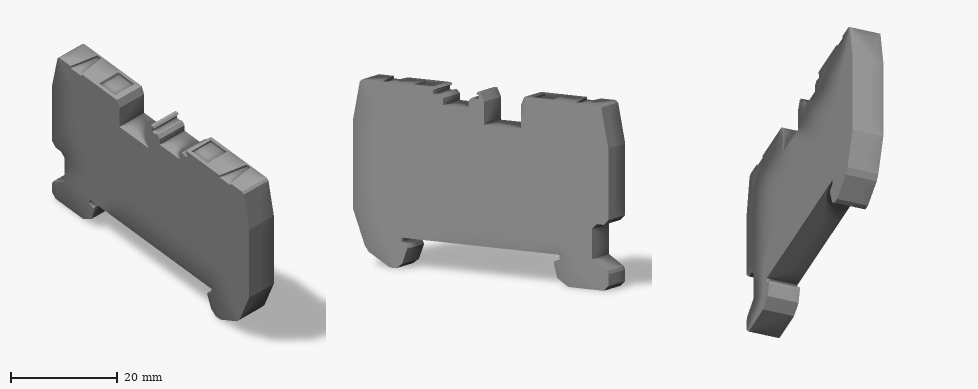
import cadquery as cq

LENGTH = 56.0
THICKNESS = 6.2
HEIGHT = 35.4

SHOULDER_Z = 27.3
SHOULDER_INSET = 1.55
CORNER_WIDTH = 0.5
CORNER_DROP = 0.4

RIGHT_WALL_BOTTOM_Z = 10.6
RIGHT_HEEL_TOP = (53.35, 3.65)
RIGHT_HEEL_BOTTOM = (52.5, 2.55)
RIGHT_SOLE_START_X = 46.5
RIGHT_SOLE_END_X = 47.85

LEFT_SOLE_END_X = 8.8
END_CHAMFER = 1.0
LEFT_TOE_Z = 3.2
LEFT_TOE_CHAMFER = (0.3, 3.85)

SIDE_NOTCH_DEPTH = 3.55
SIDE_NOTCH_BOTTOM_Z = 5.8
SIDE_NOTCH_TOP_Z = 12.6

RAIL_LEFT_X = 10.65
RAIL_RIGHT_X = 45.35
RAIL_Z = 5.95
LEFT_LIP_X = 11.85
LEFT_LIP_TOP_Z = 4.6
LEFT_LIP_LEDGE_X = 11.2
LEFT_LIP_ROOT_Z = 5.05
LEFT_LIP_BOTTOM_Z = 3.85
LEFT_FOOT_INNER = (11.2, 1.5)
RIGHT_LIP = (44.05, 3.95)
RIGHT_LIP_LEDGE_START = (44.35, 4.5)
RIGHT_LIP_LEDGE_END = (45.1, 4.8)
RIGHT_LIP_ROOT_Z = 5.1
RIGHT_FOOT_INNER = (45.2, 0.95)

SLOT_LEFT_X = 19.13
SLOT_RIGHT_X = 27.2
SLOT_FLOOR_Z = 29.25
SLOT_LEFT_FLARE = 0.7
SLOT_LEFT_FLARE_Z = 33.85
SLOT_RIGHT_FLARE = 0.85
SLOT_RIGHT_FLARE_Z = 33.65

GROOVE_CENTRE_X = 33.4
GROOVE_HALF_FLOOR = 2.78
GROOVE_FLOOR_Z = 32.15
GROOVE_BEVEL_HALF = 3.47
GROOVE_BEVEL_BOTTOM_Z = 33.5
GROOVE_LEDGE_Z = 34.15
GROOVE_LEDGE_HALF = 3.82
GUTTER_INNER_HALF = 4.07
GUTTER_OUTER_HALF = 4.77
GUTTER_Z = 33.95
GROOVE_WALL_HALF = 4.97
GROOVE_WALL_BOTTOM_Z = 34.05
HOOK_ROOT_Z = 34.75
HOOK_TIP_HALF = 4.42
HOOK_TIP_Z = 35.05
GROOVE_MOUTH_HALF = 4.77

RECESS_DEPTH = 0.5
WINDOW_Y_MIN = 0.7
WINDOW_Y_MAX = 5.55
WINDOW_LENGTH = 4.55
WINDOW_WALL_LEAN = 0.17
LEFT_WINDOW_OUTER_X = 12.53
RIGHT_WINDOW_OUTER_X = 43.37
WEDGE_CENTRES_X = (6.8, 49.15)
WEDGE_HALF_BASE = 1.55
WEDGE_HALF_TIP = 0.54
WEDGE_TIP_Y = 5.85


def extrude_profile(points, y_start, y_end):
    """Extrude a closed XZ outline from y_start to y_end."""
    plane = cq.Workplane("XZ", origin=(0, y_start, 0))
    return plane.polyline(points).close().extrude(y_start - y_end)


def make_body():
    """Plate outline with both feet, the rail recess and the side notch."""
    corner_x = SHOULDER_INSET + CORNER_WIDTH
    corner_z = HEIGHT - CORNER_DROP
    side_notch_edge_x = SIDE_NOTCH_DEPTH - END_CHAMFER

    top_and_right_end = [
        (0, SHOULDER_Z),
        (SHOULDER_INSET, corner_z),
        (corner_x, HEIGHT),
        (LENGTH - corner_x, HEIGHT),
        (LENGTH - SHOULDER_INSET, corner_z),
        (LENGTH, SHOULDER_Z),
        (LENGTH, RIGHT_WALL_BOTTOM_Z),
    ]
    right_foot = [
        RIGHT_HEEL_TOP,
        RIGHT_HEEL_BOTTOM,
        (RIGHT_SOLE_END_X, 0),
        (RIGHT_SOLE_START_X, 0),
        RIGHT_FOOT_INNER,
        RIGHT_LIP,
        RIGHT_LIP_LEDGE_START,
        RIGHT_LIP_LEDGE_END,
    ]
    rail_recess = [
        (RAIL_RIGHT_X, RIGHT_LIP_ROOT_Z),
        (RAIL_RIGHT_X, RAIL_Z),
        (RAIL_LEFT_X, RAIL_Z),
        (RAIL_LEFT_X, LEFT_LIP_ROOT_Z),
    ]
    left_foot = [
        (LEFT_LIP_LEDGE_X, LEFT_LIP_TOP_Z),
        (LEFT_LIP_X, LEFT_LIP_TOP_Z),
        (LEFT_LIP_X, LEFT_LIP_BOTTOM_Z),
        LEFT_FOOT_INNER,
        (LEFT_SOLE_END_X, 0),
        (END_CHAMFER, 0),
        (0, END_CHAMFER),
        (0, LEFT_TOE_Z),
        LEFT_TOE_CHAMFER,
    ]
    side_notch = [
        (SIDE_NOTCH_DEPTH, SIDE_NOTCH_BOTTOM_Z),
        (SIDE_NOTCH_DEPTH, SIDE_NOTCH_TOP_Z - END_CHAMFER),
        (side_notch_edge_x, SIDE_NOTCH_TOP_Z),
        (END_CHAMFER, SIDE_NOTCH_TOP_Z),
        (0, SIDE_NOTCH_TOP_Z + END_CHAMFER),
    ]
    outline = top_and_right_end + right_foot + rail_recess + left_foot + side_notch
    return extrude_profile(outline, 0, THICKNESS)


def make_slot():
    """Deep slot through the thickness, flared at its mouth."""
    outline = [
        (SLOT_LEFT_X, SLOT_FLOOR_Z),
        (SLOT_RIGHT_X, SLOT_FLOOR_Z),
        (SLOT_RIGHT_X, SLOT_RIGHT_FLARE_Z),
        (SLOT_RIGHT_X + SLOT_RIGHT_FLARE, HEIGHT),
        (SLOT_LEFT_X - SLOT_LEFT_FLARE, HEIGHT),
        (SLOT_LEFT_X, SLOT_LEFT_FLARE_Z),
    ]
    return extrude_profile(outline, 0, THICKNESS)


def make_marker_groove():
    """Stepped groove with a small overhanging hook on each side."""
    half_outline = [
        (GROOVE_HALF_FLOOR, GROOVE_FLOOR_Z),
        (GROOVE_HALF_FLOOR, GROOVE_BEVEL_BOTTOM_Z),
        (GROOVE_BEVEL_HALF, GROOVE_LEDGE_Z),
        (GROOVE_LEDGE_HALF, GROOVE_LEDGE_Z),
        (GUTTER_INNER_HALF, GUTTER_Z),
        (GUTTER_OUTER_HALF, GUTTER_Z),
        (GROOVE_WALL_HALF, GROOVE_WALL_BOTTOM_Z),
        (GROOVE_WALL_HALF, HOOK_ROOT_Z),
        (HOOK_TIP_HALF, HOOK_TIP_Z),
        (GROOVE_MOUTH_HALF, HEIGHT),
    ]
    right_side = [(GROOVE_CENTRE_X + offset, z) for offset, z in half_outline]
    left_side = [(GROOVE_CENTRE_X - offset, z) for offset, z in reversed(half_outline)]
    return extrude_profile(right_side + left_side, 0, THICKNESS)


def make_window(outer_x, inward):
    """Rectangular recess whose outer wall leans; inward is +1 or -1 along X."""
    floor_z = HEIGHT - RECESS_DEPTH
    inner_x = outer_x + inward * WINDOW_LENGTH
    outline = [
        (outer_x, HEIGHT),
        (inner_x, HEIGHT),
        (inner_x, floor_z),
        (outer_x + inward * WINDOW_WALL_LEAN, floor_z),
    ]
    return extrude_profile(outline, WINDOW_Y_MIN, WINDOW_Y_MAX)


def make_wedge(centre_x):
    """Tapered recess, open at the front face."""
    outline = [
        (centre_x - WEDGE_HALF_BASE, 0),
        (centre_x + WEDGE_HALF_BASE, 0),
        (centre_x + WEDGE_HALF_TIP, WEDGE_TIP_Y),
        (centre_x - WEDGE_HALF_TIP, WEDGE_TIP_Y),
    ]
    top_plane = cq.Workplane("XY", origin=(0, 0, HEIGHT))
    return top_plane.polyline(outline).close().extrude(-RECESS_DEPTH)


result = make_body().cut(make_slot()).cut(make_marker_groove())
result = result.cut(make_window(LEFT_WINDOW_OUTER_X, 1))
result = result.cut(make_window(RIGHT_WINDOW_OUTER_X, -1))
for wedge_x in WEDGE_CENTRES_X:
    result = result.cut(make_wedge(wedge_x))